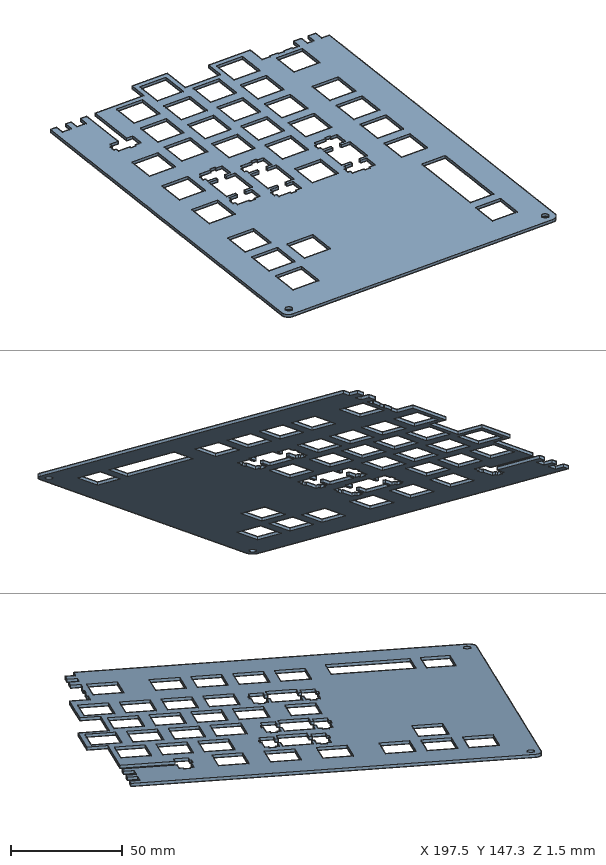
import cadquery as cq
plate_length = 197.5
plate_width = 147.3
plate_thickness = 1.5
corner_radius = 3.5
screw_hole_diameter = 3.4
screw_hole_inset = 4.5

key_hole = 14.0
bottom_row_y = 22.0
number_row_y = 98.2
function_row_y = 124.0
pitch = (number_row_y - bottom_row_y) / 4
tab_row_y = number_row_y - pitch
home_row_y = number_row_y - 2 * pitch
shift_row_y = number_row_y - 3 * pitch
block_width = 6.25
block_right = block_width * pitch

bottom_key_width = 1.25
bottom_key_count = 3
plain_rows = [
    (tab_row_y, [1.5, 1, 1, 1, 1]),
    (bottom_row_y, [bottom_key_width] * bottom_key_count),
]
stabilized_rows = [
    (number_row_y, [2, 1, 1, 1, 1]),
    (home_row_y, [2.25, 1, 1, 1, 1]),
    (shift_row_y, [2.75, 1, 1, 1]),
]
function_keys_right = [1, 1, 1, 1]
function_gap = 0.5
spacebar_width = 6.25

arrow_offset = 1.875
arrow_middle_x = block_right + arrow_offset * pitch

window_x = 145.8
window_length = 38.7
window_height = 12.6
side_opening_x = 176.5
panel_y = 127.5
side_opening_size = 13.5

wing_offset = 11.9
spacebar_wing_offset = 50.0
wing_width = 6.7
wing_top = 5.5
wing_bottom = 6.7
foot_width = 3.0
foot_depth = 1.2
connector_height = 4.5
ear_depth = 0.87
ear_height = 2.8

finger_root_x = 0.75 * pitch
finger_tip_x = 0.5 * pitch
number_edge_x = 0.25 * pitch
upper_fingers = [(4.1, 8.3), (11.9, 16.2)]
lower_notches = [(3.4, 8.3), (11.3, 16.2)]
number_row_top = (number_row_y + function_row_y) / 2
ripple_depth = 0.5
ripple_height = 4.5
ripple_centers = [117.7, 125.5]


def prism(x_min, x_max, y_min, y_max):
    """Block as thick as the plate over the given rectangle."""
    block = cq.Workplane("XY").box(x_max - x_min, y_max - y_min, plate_thickness, centered=False)
    return block.translate((x_min, y_min, 0))


def centered_prism(x, y, size_x, size_y):
    """Block as thick as the plate, centred on (x, y)."""
    return prism(x - size_x / 2, x + size_x / 2, y - size_y / 2, y + size_y / 2)


def key_centers(right_edge, widths):
    """X centres of adjoining keys, walking left from right_edge."""
    centers = []
    for width in widths:
        centers.append(right_edge - width * pitch / 2)
        right_edge -= width * pitch
    return centers


def stabilizer(x, y, offset):
    """Key hole joined by a connector to a stabilizer wing on either side."""
    cutout = centered_prism(x, y, key_hole, key_hole)
    cutout = cutout.union(centered_prism(x, y, 2 * offset, connector_height))
    wing_y = y + (wing_top - wing_bottom) / 2
    foot_height = wing_bottom + foot_depth
    ear_length = wing_width / 2 + ear_depth
    ear_y = y + (connector_height - ear_height) / 2
    for side in (-1, 1):
        wing_x = x + side * offset
        wing = centered_prism(wing_x, wing_y, wing_width, wing_top + wing_bottom)
        foot = centered_prism(wing_x, y - foot_height / 2, foot_width, foot_height)
        ear = centered_prism(wing_x + side * ear_length / 2, ear_y, ear_length, ear_height)
        cutout = cutout.union(wing).union(foot).union(ear)
    return cutout


plate = prism(finger_root_x, plate_length, 0, plate_width).edges("|Z and >X").fillet(corner_radius)

plate = plate.union(prism(number_edge_x, block_right, number_row_y - pitch / 2, number_row_top))
plate = plate.union(prism(0, block_right, home_row_y - pitch / 2, home_row_y + pitch / 2))
plate = plate.union(prism(finger_tip_x, block_right, 0, shift_row_y + pitch / 2))

for start, end in upper_fingers:
    plate = plate.union(prism(finger_tip_x, block_right, plate_width - end, plate_width - start))
for y_center in ripple_centers:
    plate = plate.union(centered_prism(finger_root_x, y_center, 2 * ripple_depth, ripple_height))
for start, end in lower_notches:
    plate = plate.cut(prism(finger_tip_x, finger_root_x, start, end))

hole_centers = [(arrow_middle_x, bottom_row_y + pitch)]
hole_centers += [(arrow_middle_x + step * pitch, bottom_row_y) for step in (-1, 0, 1)]
for y, widths in plain_rows:
    hole_centers += [(x, y) for x in key_centers(block_right, widths)]
for y, widths in stabilized_rows:
    hole_centers += [(x, y) for x in key_centers(block_right, widths)[1:]]
function_centers = key_centers(block_right, function_keys_right)
escape_x = function_centers[-1] - (1 + function_gap) * pitch
hole_centers += [(x, function_row_y) for x in function_centers + [escape_x]]
for x, y in hole_centers:
    plate = plate.cut(centered_prism(x, y, key_hole, key_hole))

for y, widths in stabilized_rows:
    plate = plate.cut(stabilizer(key_centers(block_right, widths)[0], y, wing_offset))

spacebar_right = block_right - bottom_key_count * bottom_key_width * pitch
spacebar_x = spacebar_right - spacebar_width * pitch / 2
plate = plate.cut(stabilizer(spacebar_x, bottom_row_y, spacebar_wing_offset))

plate = plate.cut(centered_prism(window_x, panel_y, window_length, window_height))
plate = plate.cut(centered_prism(side_opening_x, panel_y, side_opening_size, side_opening_size))

screw_x = plate_length - screw_hole_inset
for screw_y in (screw_hole_inset, plate_width - screw_hole_inset):
    hole_circle = cq.Workplane("XY").center(screw_x, screw_y).circle(screw_hole_diameter / 2)
    plate = plate.cut(hole_circle.extrude(plate_thickness))

result = plate